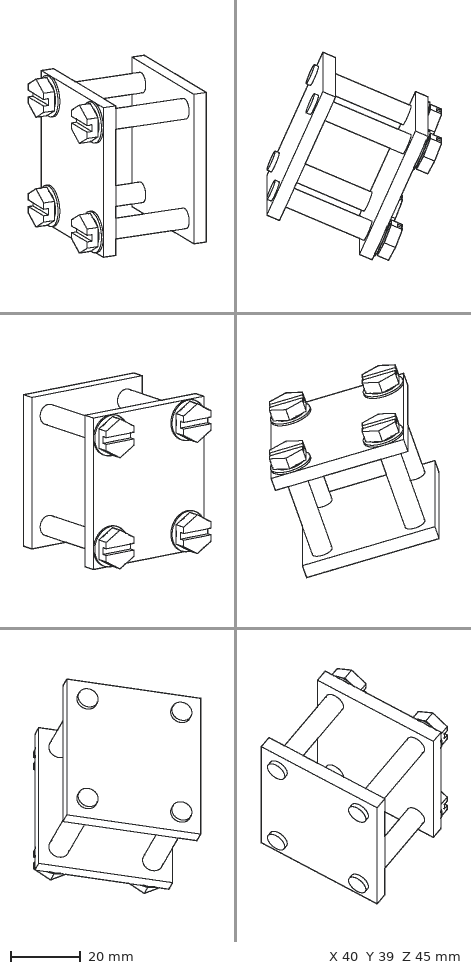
import cadquery as cq
import math

plate_width = 40.0
plate_height = 45.0
plate_thickness = 4.0
plate_gap = 25.0

shank_diameter = 6.0
shank_projection = 1.3
washer_diameter = 12.0
washer_thickness = 0.6
collar_diameter = 8.8
collar_thickness = 0.6
head_across_flats = 10.0
head_thickness = 3.5
slot_width = 2.0
slot_depth = 1.55

bolt_x = (plate_width - washer_diameter) / 2
bolt_z = (plate_height - washer_diameter) / 2

rear_plate_y = plate_thickness + plate_gap
shank_end_y = rear_plate_y + plate_thickness + shank_projection
washer_face_y = -washer_thickness
collar_face_y = washer_face_y - collar_thickness
head_face_y = collar_face_y - head_thickness


def make_plate(start_y):
    return cq.Workplane("XY").box(
        plate_width, plate_thickness, plate_height, centered=(True, False, True)
    ).translate((0, start_y, 0))


def make_cylinder(diameter, start_y, end_y):
    sketch = cq.Workplane("XZ", origin=(0, start_y, 0)).circle(diameter / 2)
    return sketch.extrude(start_y - end_y)


def make_head():
    across_corners = head_across_flats / math.cos(math.pi / 6)
    head = (
        cq.Workplane("XZ", origin=(0, collar_face_y, 0))
        .transformed(rotate=(0, 0, 90))
        .polygon(6, across_corners)
        .extrude(head_thickness)
    )
    slot = cq.Workplane("XY").box(
        across_corners, slot_depth, slot_width, centered=(True, False, True)
    ).translate((0, head_face_y, 0))
    return head.cut(slot)


def make_bolt():
    shank = make_cylinder(shank_diameter, collar_face_y, shank_end_y)
    washer = make_cylinder(washer_diameter, washer_face_y, 0)
    collar = make_cylinder(collar_diameter, collar_face_y, washer_face_y)
    return shank.union(washer).union(collar).union(make_head())


result = make_plate(0).union(make_plate(rear_plate_y))
bolt = make_bolt()
for x in (-bolt_x, bolt_x):
    for z in (-bolt_z, bolt_z):
        result = result.union(bolt.translate((x, 0, z)))